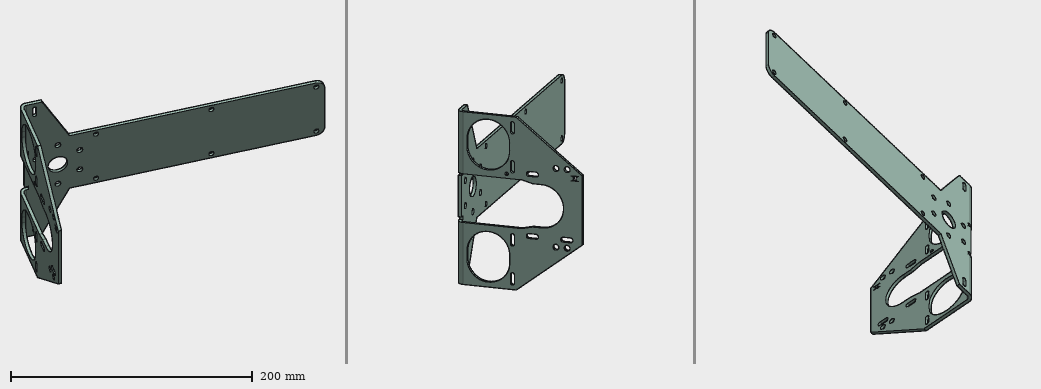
import cadquery as cq
import math


SHEET = 3.0
BEND_INNER_RADIUS = 3.0
BEND_OUTER_RADIUS = BEND_INNER_RADIUS + SHEET
FLANGE_LENGTH = 110.0
WEB_LENGTH = 264.5
HEIGHT = 150.0
HALF_HEIGHT = HEIGHT / 2

ARM_HALF_WIDTH = 30.0
ARM_CORNER_RADIUS = 8.0
WING_TOP_Y = 19.3
WING_ROOT_Y = 43.0

FLANGE_TAPER_X = 52.5
FLANGE_TIP_HALF_HEIGHT = 30.2

WINDOW_HALF_HEIGHT = 21.2
WINDOW_NECK_HALF_HEIGHT = 18.8
WINDOW_TAPER_START_X = 57.0
WINDOW_TAPER_END_X = 66.7
WINDOW_END_X = 93.6
TAB_HALF_WIDTH = 18.0
TAB_EDGE_Y = 4.2
RELIEF_EDGE_Y = 7.7

OPENING_X = 27.8
OPENING_Z = 48.7
OPENING_WIDTH = 37.5
OPENING_LENGTH = 44.0

NARROW_SLOT_LENGTH = 10.5
NARROW_SLOT_WIDTH = 3.5
WIDE_SLOT_LENGTH = 10.5
WIDE_SLOT_WIDTH = 4.2
UPRIGHT_SLOT_X = 49.0
UPRIGHT_SLOT_OUTER_Z = 65.5
UPRIGHT_SLOT_INNER_Z = 31.7
WEB_SLOT_Y = 13.0
LEVEL_SLOT_Z = 27.0
LEVEL_SLOT_X = 66.5
LOWER_TIP_SLOT_X = 96.5
PINCHED_SLOT_X = 103.5

FLANGE_HOLE_DIAMETER = 5.0
FLANGE_HOLE_XS = (87.0, 96.8)
FLANGE_HOLE_Z = 34.0
PILOT_DIAMETER = 3.0
PILOT_X = 44.0
PILOT_Z = 25.0
ARM_HOLE_DIAMETER = 4.2
ARM_HOLE_YS = (66.0, 166.0, 257.0)
ARM_HOLE_Z = 25.0
HUB_Y = 33.0
HUB_DIAMETER = 17.0
HUB_RING_RADIUS = 22.0
HUB_RING_HOLE_DIAMETER = 5.0
HUB_RING_HOLE_COUNT = 6


def through_flange(sketch):
    """Extrude an XZ sketch through the flange and the bend."""
    return sketch.extrude(-BEND_OUTER_RADIUS)


def through_web(sketch):
    """Extrude a YZ sketch through the web and the bend."""
    return sketch.extrude(BEND_OUTER_RADIUS)


def flange_plane():
    return cq.Workplane("XZ")


def web_plane():
    return cq.Workplane("YZ")


def bent_sheet():
    """L-shaped sheet of full height with a rounded bend."""
    outside = cq.Workplane("XY").rect(FLANGE_LENGTH, WEB_LENGTH, centered=False)
    outside = outside.extrude(HEIGHT).edges("|Z and <X and <Y").fillet(BEND_OUTER_RADIUS)
    inside = cq.Workplane("XY").center(SHEET, SHEET).rect(FLANGE_LENGTH, WEB_LENGTH, centered=False)
    inside = inside.extrude(HEIGHT).edges("|Z and <X and <Y").fillet(BEND_INNER_RADIUS)
    return outside.cut(inside).translate((0, 0, -HALF_HEIGHT))


def web_outline():
    """Long arm with rounded free corners and a wing on each side near the bend."""
    outline = web_plane().polyline([
        (0, -HALF_HEIGHT),
        (WING_TOP_Y, -HALF_HEIGHT),
        (WING_ROOT_Y, -ARM_HALF_WIDTH),
        (WEB_LENGTH, -ARM_HALF_WIDTH),
        (WEB_LENGTH, ARM_HALF_WIDTH),
        (WING_ROOT_Y, ARM_HALF_WIDTH),
        (WING_TOP_Y, HALF_HEIGHT),
        (0, HALF_HEIGHT),
    ]).close().extrude(FLANGE_LENGTH)
    return outline.edges("|X and >Y").fillet(ARM_CORNER_RADIUS)


def flange_outline():
    """Flange narrowing toward its free edge."""
    return flange_plane().polyline([
        (0, -HALF_HEIGHT),
        (FLANGE_TAPER_X, -HALF_HEIGHT),
        (FLANGE_LENGTH, -FLANGE_TIP_HALF_HEIGHT),
        (FLANGE_LENGTH, FLANGE_TIP_HALF_HEIGHT),
        (FLANGE_TAPER_X, HALF_HEIGHT),
        (0, HALF_HEIGHT),
    ]).close().extrude(-WEB_LENGTH)


def flange_window():
    """Window that narrows once and ends in a half circle."""
    arc_start_x = WINDOW_END_X - WINDOW_NECK_HALF_HEIGHT
    sketch = (
        flange_plane()
        .moveTo(SHEET, -WINDOW_HALF_HEIGHT)
        .lineTo(WINDOW_TAPER_START_X, -WINDOW_HALF_HEIGHT)
        .lineTo(WINDOW_TAPER_END_X, -WINDOW_NECK_HALF_HEIGHT)
        .lineTo(arc_start_x, -WINDOW_NECK_HALF_HEIGHT)
        .threePointArc((WINDOW_END_X, 0), (arc_start_x, WINDOW_NECK_HALF_HEIGHT))
        .lineTo(WINDOW_TAPER_END_X, WINDOW_NECK_HALF_HEIGHT)
        .lineTo(WINDOW_TAPER_START_X, WINDOW_HALF_HEIGHT)
        .lineTo(SHEET, WINDOW_HALF_HEIGHT)
        .close()
    )
    return through_flange(sketch)


def bend_relief():
    """Gap across the bend, reaching into the flat part of the web."""
    sketch = web_plane().center(RELIEF_EDGE_Y / 2, 0).rect(RELIEF_EDGE_Y, 2 * WINDOW_HALF_HEIGHT)
    return through_web(sketch)


def web_tab():
    """Short flat tab that continues the web into the relief gap."""
    tab_center_y = (TAB_EDGE_Y + RELIEF_EDGE_Y) / 2
    tab_length = RELIEF_EDGE_Y - TAB_EDGE_Y
    return web_plane().center(tab_center_y, 0).rect(tab_length, 2 * TAB_HALF_WIDTH).extrude(SHEET)


def flange_openings():
    centers = [(OPENING_X, OPENING_Z), (OPENING_X, -OPENING_Z)]
    return through_flange(flange_plane().pushPoints(centers).slot2D(OPENING_LENGTH, OPENING_WIDTH, 90))


def flange_upright_slots():
    centers = [
        (UPRIGHT_SLOT_X, side * z)
        for side in (-1, 1)
        for z in (UPRIGHT_SLOT_INNER_Z, UPRIGHT_SLOT_OUTER_Z)
    ]
    sketch = flange_plane().pushPoints(centers).slot2D(NARROW_SLOT_LENGTH, NARROW_SLOT_WIDTH, 90)
    return through_flange(sketch)


def flange_level_slots():
    centers = [
        (LEVEL_SLOT_X, LEVEL_SLOT_Z),
        (LEVEL_SLOT_X, -LEVEL_SLOT_Z),
        (LOWER_TIP_SLOT_X, -LEVEL_SLOT_Z),
    ]
    return through_flange(flange_plane().pushPoints(centers).slot2D(WIDE_SLOT_LENGTH, WIDE_SLOT_WIDTH))


def pinched_slot():
    """Slot whose round ends bulge inward instead of outward."""
    length = WIDE_SLOT_LENGTH - WIDE_SLOT_WIDTH
    end_centers = [
        (PINCHED_SLOT_X - length / 2, LEVEL_SLOT_Z),
        (PINCHED_SLOT_X + length / 2, LEVEL_SLOT_Z),
    ]
    body = through_flange(flange_plane().center(PINCHED_SLOT_X, LEVEL_SLOT_Z).rect(length, WIDE_SLOT_WIDTH))
    ends = through_flange(flange_plane().pushPoints(end_centers).circle(WIDE_SLOT_WIDTH / 2))
    return body.cut(ends)


def flange_holes():
    centers = [(x, side * FLANGE_HOLE_Z) for x in FLANGE_HOLE_XS for side in (-1, 1)]
    bolt_holes = through_flange(flange_plane().pushPoints(centers).circle(FLANGE_HOLE_DIAMETER / 2))
    pilot = through_flange(flange_plane().center(PILOT_X, PILOT_Z).circle(PILOT_DIAMETER / 2))
    return bolt_holes.union(pilot)


def web_slots():
    centers = [(WEB_SLOT_Y, UPRIGHT_SLOT_OUTER_Z), (WEB_SLOT_Y, -UPRIGHT_SLOT_OUTER_Z)]
    return through_web(web_plane().pushPoints(centers).slot2D(NARROW_SLOT_LENGTH, NARROW_SLOT_WIDTH, 90))


def arm_holes():
    centers = [(y, side * ARM_HOLE_Z) for y in ARM_HOLE_YS for side in (-1, 1)]
    return through_web(web_plane().pushPoints(centers).circle(ARM_HOLE_DIAMETER / 2))


def hub_holes():
    """Central hole with a ring of holes around it, the first one straight above."""
    hub = through_web(web_plane().center(HUB_Y, 0).circle(HUB_DIAMETER / 2))
    ring_centers = []
    for index in range(HUB_RING_HOLE_COUNT):
        angle = 2 * math.pi * index / HUB_RING_HOLE_COUNT
        ring_centers.append((HUB_Y + HUB_RING_RADIUS * math.sin(angle), HUB_RING_RADIUS * math.cos(angle)))
    ring = through_web(web_plane().pushPoints(ring_centers).circle(HUB_RING_HOLE_DIAMETER / 2))
    return hub.union(ring)


result = bent_sheet().intersect(web_outline()).intersect(flange_outline())

cutters = (
    flange_window(),
    bend_relief(),
    flange_openings(),
    flange_upright_slots(),
    flange_level_slots(),
    pinched_slot(),
    flange_holes(),
    web_slots(),
    arm_holes(),
    hub_holes(),
)
for cutter in cutters:
    result = result.cut(cutter)

result = result.union(web_tab()).clean()